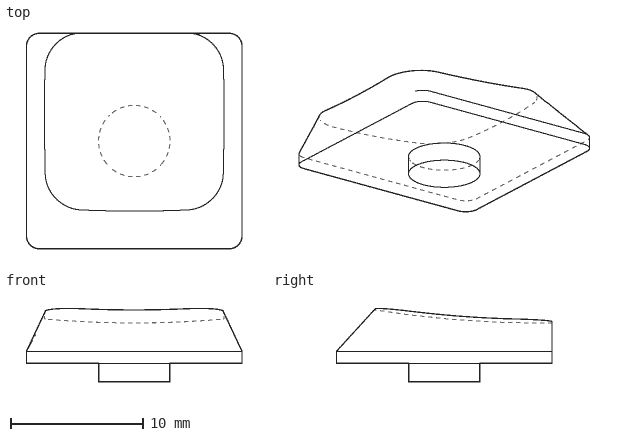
import cadquery as cq
import math

cap_side = 16.3
skirt_height = 0.9
skirt_corner_radius = 1.0

stem_diameter = 5.4
stem_length = 1.4

top_width = 13.3
front_inset = 3.1
top_corner_radius = 2.8
top_back_height = 3.3
top_front_height = 4.3

dish_radius = 77.0
dish_low_y = 7.07
dish_low_height = 3.04

back_y = cap_side / 2
top_front_y = -back_y + front_inset
top_run = back_y - top_front_y
top_rise = top_front_height - top_back_height
top_length = math.hypot(top_run, top_rise)
top_tilt = math.degrees(math.atan2(top_rise, top_run))


def rounded_rectangle(width, length, radius):
    return cq.Sketch().rect(width, length).vertices().fillet(radius)


def make_skirt():
    return cq.Workplane("XY").placeSketch(foot_outline).extrude(skirt_height)


def make_tapered_cap():
    """Straight walls lofted from the skirt up to the forward-rising top outline."""
    foot_location = cq.Location(cq.Vector(0, 0, skirt_height))
    top_middle = cq.Vector(
        0,
        (back_y + top_front_y) / 2,
        (top_back_height + top_front_height) / 2,
    )
    top_location = cq.Location(top_middle, cq.Vector(1, 0, 0), -top_tilt)
    top_outline = rounded_rectangle(top_width, top_length, top_corner_radius)
    sections = (foot_outline.moved(foot_location), top_outline.moved(top_location))
    return cq.Workplane("XY").placeSketch(*sections).loft()


def make_dish():
    centre = (0, dish_low_y, dish_low_height + dish_radius)
    return cq.Workplane("XY").sphere(dish_radius).translate(centre)


def make_stem():
    return cq.Workplane("XY").circle(stem_diameter / 2).extrude(-stem_length)


foot_outline = rounded_rectangle(cap_side, cap_side, skirt_corner_radius)
result = make_tapered_cap().cut(make_dish()).union(make_skirt()).union(make_stem())